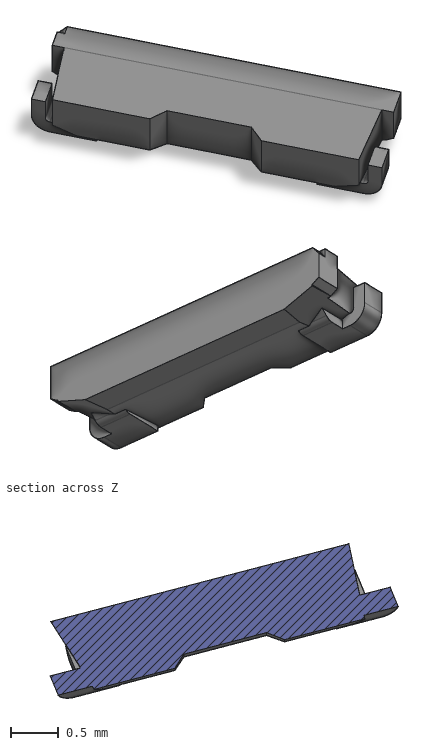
import cadquery as cq
import math


length = 3.8
depth = 1.0
height = 0.61

bar_half_length = 1.85
bar_depth = 0.3
bar_front_y = depth - bar_depth
body_bottom = 0.01

body_half_length = 1.72
draft_angle = 5

lip_outer_z = 0.213
lip_inner_z = 0.16
lip_angle = 30
underside_angle = 19
underside_tilt_angle = 3
lip_inner_x = bar_half_length - (lip_outer_z - lip_inner_z) / math.tan(math.radians(lip_angle))
underside_slope = math.tan(math.radians(underside_angle))
underside_tilt = math.tan(math.radians(underside_tilt_angle))

recess_depth = 0.15
recess_half_width = 0.455

corner_cut_x = 0.085
corner_cut_y = 0.103
corner_cut_z = 0.103

terminal_thickness = 0.152
terminal_height = 0.45
terminal_width = 0.275
terminal_front_y = 0.045
terminal_rear_y = terminal_front_y + terminal_width
bend_radius = 0.2
inner_bend_radius = bend_radius - terminal_thickness
foot_inner_x = 1.195

tongue_outer_x = 1.595
tongue_height = 0.103
tongue_rear_y = 0.645
tongue_bend_radius = 0.133


def make_bar():
    bar = cq.Workplane("XY").box(
        2 * bar_half_length, bar_depth, height - body_bottom, centered=(True, False, False)
    )
    bar = bar.translate((0, bar_front_y, body_bottom))
    corner_cut = (
        cq.Workplane("XZ", origin=(-bar_half_length, depth, height))
        .polyline([(0, 0), (corner_cut_x, 0), (0, -corner_cut_z)])
        .close()
        .extrude(corner_cut_y)
    )
    return bar.cut(corner_cut)


def make_body():
    """Block that tapers towards its front face, with a trapezoidal recess in that face."""
    center_z = (body_bottom + height) / 2
    body = (
        cq.Workplane("XZ", origin=(0, bar_front_y, center_z))
        .rect(2 * body_half_length, height - body_bottom)
        .extrude(bar_front_y, taper=draft_angle)
    )
    mouth_half_width = recess_half_width + recess_depth
    recess = (
        cq.Workplane("XY")
        .moveTo(-mouth_half_width, 0)
        .lineTo(-recess_half_width, recess_depth)
        .lineTo(recess_half_width, recess_depth)
        .lineTo(mouth_half_width, 0)
        .close()
        .extrude(height)
    )
    return body.cut(recess)


def underside_section(y):
    """Triangle in XZ at depth y, bounded above by the shared plane of the underside."""
    top_z = lip_inner_z - underside_tilt * (y - bar_front_y)
    points = [(lip_inner_x, 0), (lip_inner_x, top_z), (lip_inner_x - top_z / underside_slope, 0)]
    return cq.Workplane("XZ", origin=(0, y, 0)).polyline(points).close().wires().val()


def make_underside_cut():
    """Material to remove below the +X end of the bar and body."""
    shared_plane_cut = cq.Solid.makeLoft([underside_section(0), underside_section(depth)], True)
    lip_cut = (
        cq.Workplane("XZ", origin=(0, depth, 0))
        .moveTo(lip_inner_x, 0)
        .lineTo(bar_half_length, 0)
        .lineTo(bar_half_length, lip_outer_z)
        .lineTo(lip_inner_x, lip_inner_z)
        .close()
        .extrude(bar_depth)
    )
    return lip_cut.union(cq.Workplane(obj=shared_plane_cut))


def make_terminal():
    """The -X terminal: an upright leg, a rounded bend and a foot under the body."""
    outer_x = -length / 2
    leg_inner_x = outer_x + terminal_thickness
    outer_center_x = outer_x + bend_radius
    diagonal = math.sqrt(0.5)
    terminal = (
        cq.Workplane("XZ", origin=(0, terminal_rear_y, 0))
        .moveTo(outer_x, terminal_height)
        .lineTo(outer_x, bend_radius)
        .threePointArc(
            (outer_center_x - bend_radius * diagonal, bend_radius - bend_radius * diagonal),
            (outer_center_x, 0),
        )
        .lineTo(-foot_inner_x, 0)
        .lineTo(-foot_inner_x, terminal_thickness)
        .lineTo(outer_center_x, terminal_thickness)
        .threePointArc(
            (outer_center_x - inner_bend_radius * diagonal, bend_radius - inner_bend_radius * diagonal),
            (leg_inner_x, bend_radius),
        )
        .lineTo(leg_inner_x, terminal_height)
        .close()
        .extrude(terminal_width)
    )
    return terminal.union(make_tongue())


def make_tongue():
    """Flat strip at the -X end with a 45 degree rear ramp that blends into its underside."""
    ramp_foot_y = tongue_rear_y - tongue_height
    return (
        cq.Workplane("YZ", origin=(-tongue_outer_x, 0, 0))
        .moveTo(terminal_front_y, 0)
        .lineTo(ramp_foot_y, 0)
        .lineTo(tongue_rear_y, tongue_height)
        .lineTo(terminal_front_y, tongue_height)
        .close()
        .extrude(tongue_outer_x - foot_inner_x)
        .faces("<Z")
        .edges(">Y")
        .fillet(tongue_bend_radius)
    )


underside_cut = make_underside_cut()
housing = make_bar().union(make_body()).cut(underside_cut).cut(underside_cut.mirror("YZ"))
terminal = make_terminal()
result = housing.union(terminal).union(terminal.mirror("YZ"))